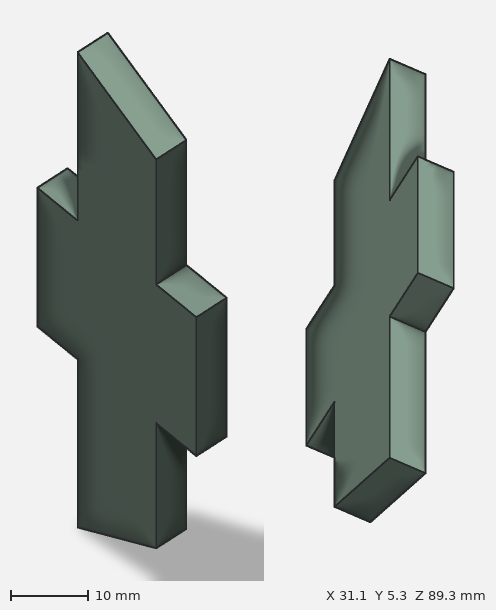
import cadquery as cq

length = 89.3
thickness = 5.3

block_width = 31.1
block_height = 26.1
arm_width = 15.4
end_slope_drop = 8.1

arm_half_width = arm_width / 2
long_edge_half = length / 2
short_edge_half = long_edge_half - end_slope_drop

arms = (
    cq.Workplane("XZ")
    .polyline([
        (-arm_half_width, -long_edge_half),
        (arm_half_width, -short_edge_half),
        (arm_half_width, short_edge_half),
        (-arm_half_width, long_edge_half),
    ])
    .close()
    .extrude(thickness / 2, both=True)
)

block = cq.Workplane("XY").box(block_width, thickness, block_height)

result = arms.union(block)